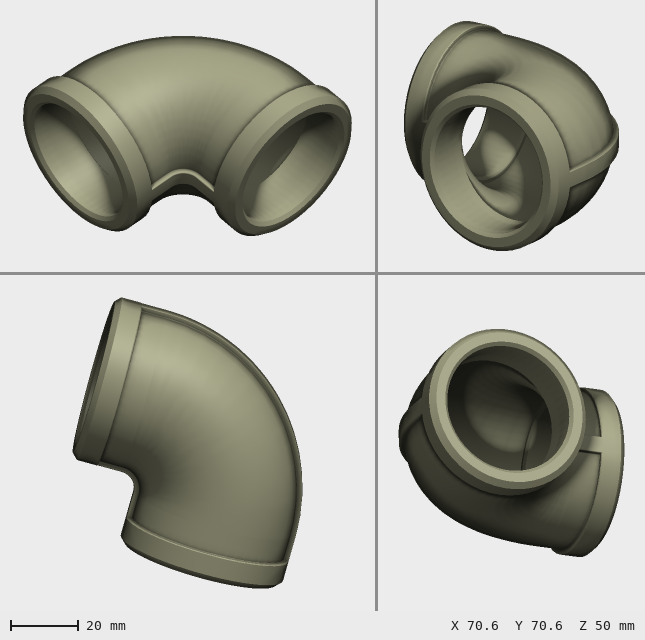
import cadquery as cq
import math

overall_length = 70.55
collar_diameter = 50.0
collar_length = 7.9
collar_chamfer = 1.7
body_diameter = 47.0
bend_radius = 30.05
rib_width = 5.1
step_fillet = 0.3
bore_diameter = 38.95
bore_length = 14.9
mouth_diameter = 41.0
chamber_diameter = 43.3

port_distance = overall_length - collar_diameter / 2
collar_distance = port_distance - collar_length
bore_end_distance = port_distance - bore_length

cutter_clearance = 2.8
slab_size = 4 * overall_length
position_tolerance = 0.01


def planes_at(distance):
    """Planes square to the -Y and +X port axes, with normals pointing out of the elbow."""
    return (
        cq.Plane(origin=(0, -distance, 0), xDir=(1, 0, 0), normal=(0, -1, 0)),
        cq.Plane(origin=(distance, 0, 0), xDir=(0, 1, 0), normal=(1, 0, 0)),
    )


def bend(diameter):
    """Solid round quarter bend joining the two port axes."""
    return (
        cq.Workplane("XZ", origin=(0, -bend_radius, 0))
        .circle(diameter / 2)
        .revolve(90, (bend_radius, 0), (bend_radius, -1))
    )


def elbow(diameter, end_distance):
    """Solid round quarter bend with a straight leg on each end."""
    solid = bend(diameter)
    for plane in planes_at(bend_radius):
        leg = cq.Workplane(plane).circle(diameter / 2).extrude(end_distance - bend_radius)
        solid = solid.union(leg)
    return solid


def stepped_elbow():
    """Collar-sized elbow, cut back to the body diameter except at the collars and a mid-plane rib."""
    sleeve = elbow(collar_diameter + cutter_clearance, collar_distance)
    sleeve = sleeve.cut(elbow(body_diameter, port_distance))
    rib_slab = cq.Workplane("XY").box(slab_size, slab_size, rib_width)
    return elbow(collar_diameter, port_distance).cut(sleeve.cut(rib_slab))


def section_radius(point):
    """Distance of a point from the centre line of the elbow."""
    if point.x > bend_radius:
        offset = point.y
    elif point.y < -bend_radius:
        offset = point.x
    else:
        offset = math.hypot(point.x - bend_radius, point.y + bend_radius) - bend_radius
    return math.hypot(offset, point.z)


def step_edges(solid, diameter):
    """Edges of the rib sides and collar faces that lie at the given section diameter."""

    def on_step(edge):
        middle = edge.positionAt(0.5)
        past_collar = max(middle.x, -middle.y) - collar_distance
        at_collar = abs(past_collar) < position_tolerance
        along_rib = past_collar < 0 and abs(abs(middle.z) - rib_width / 2) < position_tolerance
        at_diameter = abs(section_radius(middle) - diameter / 2) < position_tolerance
        return at_diameter and (at_collar or along_rib)

    return [edge for edge in solid.edges().vals() if on_step(edge)]


def shell():
    """Outer shape with rounded steps and chamfered collar rims."""
    solid = stepped_elbow()
    for diameter in (body_diameter, collar_diameter):
        solid = solid.newObject(step_edges(solid, diameter)).fillet(step_fillet)
    return solid.faces("<Y").chamfer(collar_chamfer).faces(">X").chamfer(collar_chamfer)


def port_cutters():
    """Bore of each port with a conical mouth outside and a matching cone into the chamber."""
    mouth_depth = (mouth_diameter - bore_diameter) / 2
    cone_depth = bore_end_distance - bend_radius
    cutters = []
    for port, bend_end in zip(planes_at(port_distance), planes_at(bend_radius)):
        bore = cq.Workplane(port).circle(bore_diameter / 2).extrude(bend_radius - port_distance)
        cutters.append(bore)
        for plane, depth, direction in (
            (port, mouth_depth, -port.zDir),
            (bend_end, cone_depth, bend_end.zDir),
        ):
            cone = cq.Solid.makeCone(
                mouth_diameter / 2, bore_diameter / 2, depth, plane.origin, direction
            )
            cutters.append(cq.Workplane(cone))
    return cutters


result = shell().cut(bend(chamber_diameter))
for cutter in port_cutters():
    result = result.cut(cutter)